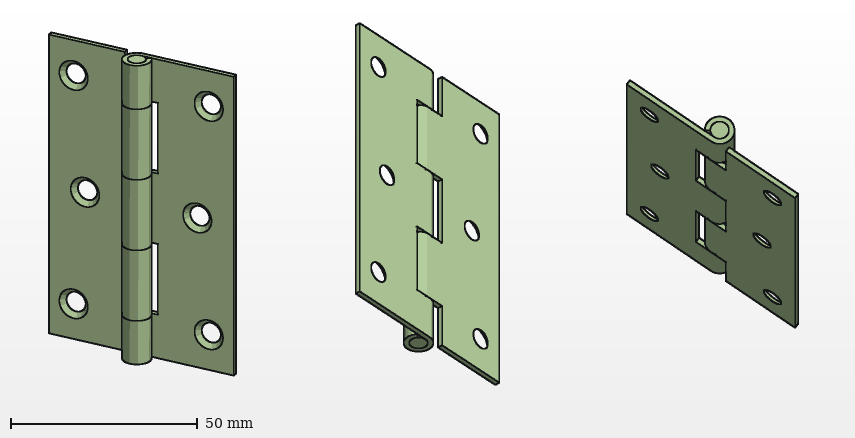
import cadquery as cq
import math

height = 89.0
width = 56.0
leaf_thickness = 1.5
notch_half_width = 5.0

barrel_radius = 4.0
bore_radius = barrel_radius - leaf_thickness
axis_y = -barrel_radius
curl_end_angle = 37.0

middle_knuckle = 21.0
end_knuckle = (height - 3 * middle_knuckle) / 2
knuckle_lengths = [end_knuckle] + 3 * [middle_knuckle] + [end_knuckle]

hole_diameter = 5.8
sink_diameter = 8.6
sink_angle = 90.0
outer_hole_x = 20.5
middle_hole_x = 17.0
outer_hole_z = 34.0


def knuckle_spans():
    """Bottom and length of every knuckle, from the bottom up."""
    spans = []
    bottom = -height / 2
    for length in knuckle_lengths:
        spans.append((bottom, length))
        bottom += length
    return spans


def around_axis(radius, angle):
    """Point on a circle around the hinge axis; angle in degrees from +X."""
    turn = math.radians(angle)
    return radius * math.cos(turn), axis_y + radius * math.sin(turn)


def make_knuckle(bottom, length):
    """Strip that leaves the +X plate on its tangent and rolls around the pin."""
    opposite_angle = (90 + 360 + curl_end_angle) / 2
    return (
        cq.Workplane("XY", origin=(0, 0, bottom))
        .moveTo(notch_half_width, 0)
        .lineTo(0, 0)
        .threePointArc(
            around_axis(barrel_radius, opposite_angle),
            around_axis(barrel_radius, curl_end_angle),
        )
        .lineTo(*around_axis(bore_radius, curl_end_angle))
        .threePointArc(
            around_axis(bore_radius, opposite_angle),
            (0, -leaf_thickness),
        )
        .lineTo(notch_half_width, -leaf_thickness)
        .close()
        .extrude(length)
    )


def make_leaf(first_knuckle):
    """Leaf on the +X side, with every second knuckle from first_knuckle on."""
    leaf = cq.Workplane("XY").box(
        width / 2 - notch_half_width, leaf_thickness, height, centered=(False, False, True)
    ).translate((notch_half_width, -leaf_thickness, 0))
    for bottom, length in knuckle_spans()[first_knuckle::2]:
        leaf = leaf.union(make_knuckle(bottom, length))
    return cut_screw_holes(leaf)


def cut_screw_holes(leaf):
    """Three staggered holes, countersunk from the barrel side."""
    hole_centres = [
        (outer_hole_x, -outer_hole_z),
        (middle_hole_x, 0),
        (outer_hole_x, outer_hole_z),
    ]
    return (
        leaf.copyWorkplane(cq.Workplane("XZ", origin=(0, -leaf_thickness, 0)))
        .pushPoints(hole_centres)
        .cskHole(hole_diameter, sink_diameter, sink_angle, depth=leaf_thickness)
    )


def make_pin():
    """Pin that fills the bore over the full height."""
    return (
        cq.Workplane("XY", origin=(0, axis_y, -height / 2))
        .circle(bore_radius)
        .extrude(height)
    )


right_leaf = make_leaf(first_knuckle=0)
left_leaf = make_leaf(first_knuckle=1).mirror("YZ")
pin = make_pin()

result = cq.Compound.makeCompound([right_leaf.solids().val(), left_leaf.solids().val(), pin.val()])